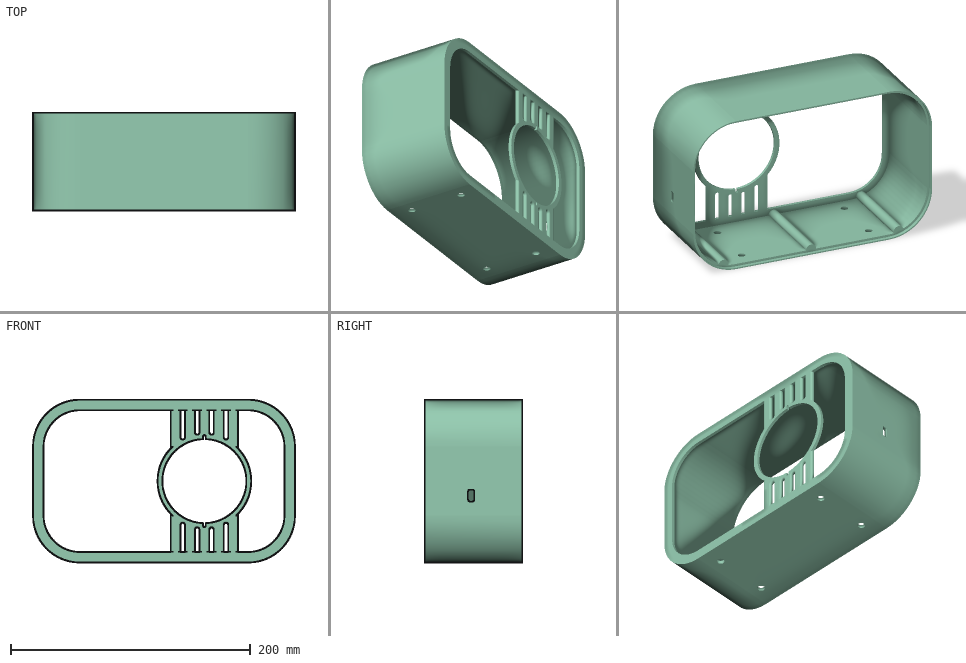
import cadquery as cq
import math

length = 218.5
depth = 81.5
height = 135.9
outer_radius = 39.0
wall = 3.0
lip_width = 9.0
lip_depth = 2.6
rebate_wall = 1.0
rebate_depth = 3.3

front_y = -depth / 2
back_y = depth / 2

ring_x = 33.6
ring_outer_radius = outer_radius
ring_inner_radius = 35.0
notch_width = 2.0
notch_tip = 38.2
slot_pitch = 12.0
slot_width = 3.5
edge_round = 1.7
bars_half_width = 28.2
outer_slot_end = 34.7
inner_slot_end = 38.7

rib_radius = 4.5
corner_rib_x = 80.2

floor_hole_diameter = 6.3
floor_hole_spacing_x = 116.2
floor_hole_spacing_y = 48.5
floor_hole_offset = -0.9
cable_slot_y = -2.0
cable_slot_z = -12.0
cable_slot_width = 5.2
cable_slot_height = 10.0
cable_slot_corner = 1.7


def along_y(y_start):
    """Workplane facing the front, placed at the given Y."""
    return cq.Workplane("XZ", origin=(0, y_start, 0))


def rounded_block(inset, y_start, y_end):
    """Rounded rectangular prism, inset from the outer surface, between two Y planes."""
    return (
        along_y(y_start)
        .rect(length - 2 * inset, height - 2 * inset)
        .extrude(y_start - y_end)
        .edges("|Y")
        .fillet(outer_radius - inset)
    )


def make_shell():
    """Open tube with an inward lip at the front and a rebate at the back."""
    shell = rounded_block(0, front_y, back_y)
    shell = shell.cut(rounded_block(lip_width, front_y, back_y))
    shell = shell.cut(rounded_block(wall, front_y + lip_depth, back_y))
    return shell.cut(rounded_block(rebate_wall, back_y - rebate_depth, back_y))


def rib_positions():
    """Rib centres on the inner surface: mid-floor and both lower corners."""
    inner_radius = outer_radius - wall
    corner_x = length / 2 - outer_radius
    corner_z = height / 2 - outer_radius
    run = corner_rib_x - corner_x
    drop = corner_z + math.sqrt(inner_radius**2 - run**2)
    return [(0, wall - height / 2), (corner_rib_x, -drop), (-corner_rib_x, -drop)]


def make_ribs():
    """Round ribs from the lip to the rebate, trimmed inside the wall."""
    ribs = along_y(front_y + lip_depth).pushPoints(rib_positions()).circle(rib_radius)
    ribs = ribs.extrude(lip_depth + rebate_depth - depth)
    return ribs.intersect(rounded_block(wall / 2, front_y, back_y))


def make_grille():
    """Flat ring carried by slotted bars; every front edge but the ring's is rounded."""
    bars_half_height = height / 2
    slot_top = bars_half_height - wall
    front = along_y(front_y).center(ring_x, 0)
    bars = front.rect(2 * bars_half_width, 2 * bars_half_height).extrude(-lip_depth)
    bars = bars.faces("<Y").edges("|Z").fillet(edge_round)
    plate = bars.union(front.circle(ring_outer_radius).extrude(-lip_depth))

    slot_ends = ((-1.5, outer_slot_end), (-0.5, inner_slot_end), (0.5, inner_slot_end), (1.5, outer_slot_end))
    for steps, end in slot_ends:
        for side in (1, -1):
            slot = front.center(steps * slot_pitch, side * (end + slot_top) / 2)
            plate = plate.cut(slot.slot2D(slot_top - end, slot_width, 90).extrude(-lip_depth))
    slot_rims = [edge for rim in plate.faces("<Y").val().innerWires() for edge in rim.Edges()]
    plate = plate.newObject(slot_rims).fillet(edge_round)

    hole = front.circle(ring_inner_radius).extrude(-lip_depth)
    notches = front.slot2D(2 * notch_tip, notch_width, 90).extrude(-lip_depth)
    opening = rounded_block(lip_width, front_y, front_y + lip_depth)
    return plate.cut(hole).cut(notches).intersect(opening)


def make_floor_holes():
    """Four round holes through the floor."""
    return (
        cq.Workplane("XY", origin=(floor_hole_offset, floor_hole_offset, -height / 2))
        .rect(floor_hole_spacing_x, floor_hole_spacing_y, forConstruction=True)
        .vertices()
        .circle(floor_hole_diameter / 2)
        .extrude(wall)
    )


def make_cable_slot():
    """Upright rounded slot through the right wall."""
    return (
        cq.Workplane("YZ", origin=(length / 2 - wall, 0, 0))
        .center(cable_slot_y, cable_slot_z)
        .rect(cable_slot_width, cable_slot_height)
        .extrude(wall)
        .edges("|X")
        .fillet(cable_slot_corner)
    )


result = make_shell().union(make_grille()).union(make_ribs())
result = result.cut(make_floor_holes()).cut(make_cable_slot())